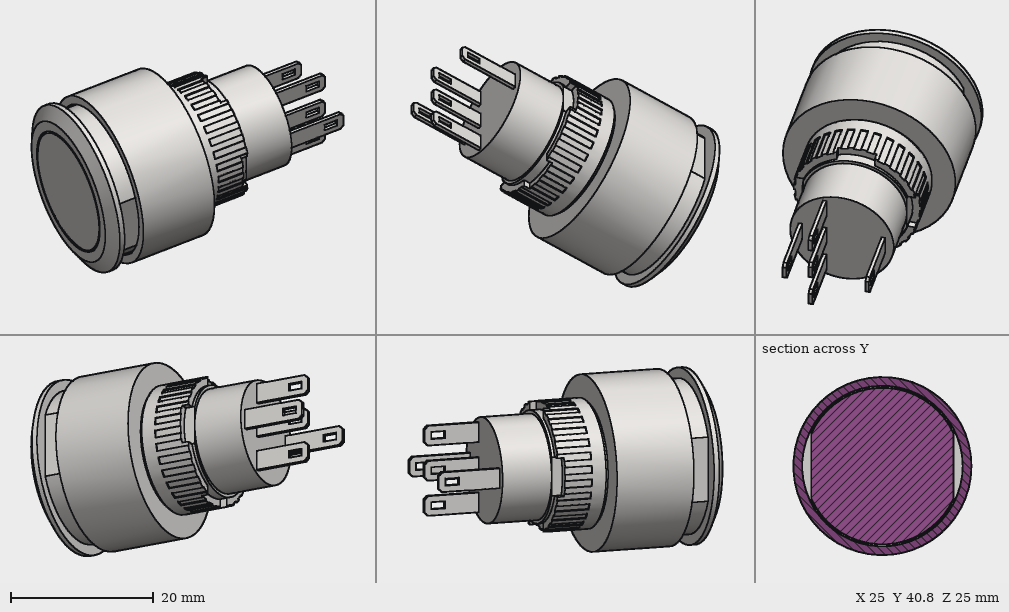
import cadquery as cq


bevel_end = 1.22
flange_end = 2.0
sleeve_start = 5.0
neck_end = 14.5
sleeve_end = 16.5
knurl_start = 19.0
notch_floor = 23.0
nut_end = 24.0
thread_end = 24.45
rear_end = 31.75
short_tip = 39.82
long_tip = 40.8

flange_diameter = 25.0
face_diameter = 21.0
neck_diameter = 22.0
neck_flats = 20.0
thread_diameter = 16.0
rear_diameter = 15.0
thread_flats = rear_diameter
button_diameter = 17.5
button_bore_diameter = 18.0

sleeve_diameter = flange_diameter
sleeve_bore_diameter = 22.5
knurl_diameter = 18.5
knurl_chamfer = 0.45
groove_count = 30
groove_width = 1.0
groove_depth = 0.2
notch_width = 5.55

terminal_width = 2.8
terminal_thickness = 0.55
terminal_chamfer = 0.5
eye_length = 2.05
eye_width = 1.0
eye_to_tip = 0.98
side_terminal_x = 6.0
row_terminal_x = 2.5
row_terminal_pitch = 5.0


def cylinder(diameter, start, end):
    """A cylinder on the Y axis between two Y positions."""
    plane = cq.Workplane("XZ", origin=(0, start, 0))
    return plane.circle(diameter / 2).extrude(start - end)


def double_flat(diameter, flats, start, end):
    """A cylinder on the Y axis with two flats facing -X and +X."""
    length = end - start
    slab = cq.Workplane("XY").box(flats, length, diameter).translate((0, start + length / 2, 0))
    return cylinder(diameter, start, end).intersect(slab)


def make_button_groove():
    """V groove around the button: a bevelled button edge against a straight bore wall."""
    inner = button_diameter / 2
    outer = button_bore_diameter / 2
    profile = cq.Workplane("XY").polyline([(inner, 0), (outer, 0), (outer, outer - inner)]).close()
    return profile.revolve(360, (0, 0, 0), (0, 1, 0))


def make_switch_body():
    """Bevelled flange, flatted neck, flatted thread and rear cylinder in one piece."""
    flange = (
        cq.Workplane("XY")
        .polyline([
            (0, 0),
            (face_diameter / 2, 0),
            (flange_diameter / 2, bevel_end),
            (flange_diameter / 2, flange_end),
            (0, flange_end),
        ])
        .close()
        .revolve(360, (0, 0, 0), (0, 1, 0))
    )
    neck = double_flat(neck_diameter, neck_flats, flange_end, neck_end)
    thread = double_flat(thread_diameter, thread_flats, neck_end, thread_end)
    rear = cylinder(rear_diameter, thread_end, rear_end)
    return flange.cut(make_button_groove()).union(neck).union(thread).union(rear)


def make_clamp_nut():
    """Cup-shaped sleeve with a knurled ring behind it: round bore, grooves and four notches."""
    sleeve = cylinder(sleeve_diameter, sleeve_start, sleeve_end)
    sleeve = sleeve.cut(cylinder(sleeve_bore_diameter, sleeve_start, neck_end))
    knurled_ring = cylinder(knurl_diameter, sleeve_end, nut_end).faces("<Y").chamfer(knurl_chamfer)
    nut = sleeve.union(knurled_ring).cut(cylinder(thread_diameter, neck_end, nut_end))

    groove_length = nut_end - knurl_start
    groove = cq.Workplane("XY").box(groove_width, groove_length, 2 * groove_depth).translate(
        (0, knurl_start + groove_length / 2, knurl_diameter / 2)
    )
    for index in range(groove_count):
        angle = index * 360 / groove_count
        nut = nut.cut(groove.rotate((0, 0, 0), (0, 1, 0), angle))

    notch_depth = nut_end - notch_floor
    notch = cq.Workplane("XY").box(notch_width, notch_depth, knurl_diameter).translate(
        (0, notch_floor + notch_depth / 2, 0)
    )
    for angle in (0, 90):
        nut = nut.cut(notch.rotate((0, 0, 0), (0, 1, 0), angle))
    return nut


def make_terminal(x, z, tip):
    """Flat blade standing on the rear face, with a chamfered tip and a rectangular eye."""
    length = tip - rear_end
    blade = cq.Workplane("XY").box(terminal_thickness, length, terminal_width)
    blade = blade.faces(">Y").edges("|X").chamfer(terminal_chamfer)
    eye_y = length / 2 - eye_to_tip - eye_length / 2
    eye = cq.Workplane("XY").box(terminal_thickness, eye_length, eye_width).translate((0, eye_y, 0))
    return blade.cut(eye).translate((x, rear_end + length / 2, z))


switch_body = make_switch_body()
clamp_nut = make_clamp_nut()

terminal_places = [
    (-side_terminal_x, 0, long_tip),
    (side_terminal_x, 0, long_tip),
    (row_terminal_x, row_terminal_pitch, short_tip),
    (row_terminal_x, 0, short_tip),
    (row_terminal_x, -row_terminal_pitch, short_tip),
]
terminals = [make_terminal(x, z, tip).val() for x, z, tip in terminal_places]

result = cq.Compound.makeCompound([switch_body.val(), clamp_nut.val(), *terminals])